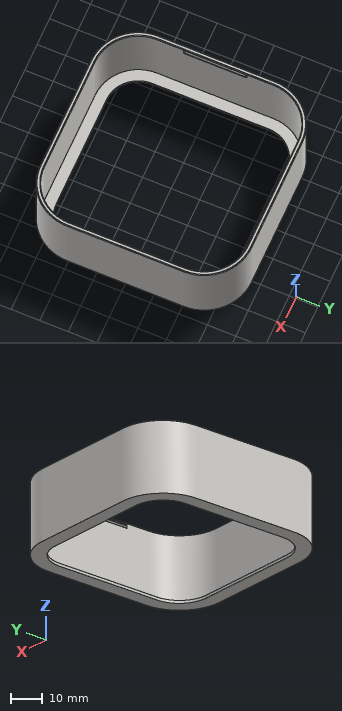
import cadquery as cq

side = 74.0
height = 26.0
corner_radius = 16.6
wall = 1.5
ledge_inset = 5.5
floor_thickness = 1.0
rim_chamfer = 0.3

ridge_length = 22.2
ridge_depth = 0.5
ridge_height = 1.5
ridge_top_gap = 0.5
ridge_overlap = 0.4


def rounded_square(inset, bottom, top):
    """Rounded square prism whose outline is offset inward from the outer side."""
    width = side - 2 * inset
    return (
        cq.Workplane("XY")
        .workplane(offset=bottom)
        .rect(width, width)
        .extrude(top - bottom)
        .edges("|Z")
        .fillet(corner_radius - inset)
    )


def frame():
    """Square ring with an inward ledge at the bottom and a chamfered rim."""
    body = rounded_square(0, 0, height)
    body = body.cut(rounded_square(wall, floor_thickness, height))
    body = body.cut(rounded_square(ledge_inset, 0, floor_thickness))
    return body.faces(">Z").edges().chamfer(rim_chamfer)


def snap_ridge(direction):
    """Ridge tapered on all sides, standing inward from the wall at +X or -X."""
    wall_face = side / 2 - wall
    middle_height = height - ridge_top_gap - ridge_height / 2
    root = (
        cq.Workplane("YZ")
        .center(0, middle_height)
        .workplane(offset=direction * (wall_face + ridge_overlap))
        .rect(ridge_length, ridge_height)
        .extrude(-direction * ridge_overlap)
    )
    crest = (
        cq.Workplane("YZ")
        .center(0, middle_height)
        .workplane(offset=direction * wall_face)
        .rect(ridge_length, ridge_height)
        .workplane(offset=-direction * ridge_depth)
        .rect(ridge_length - 2 * ridge_depth, ridge_height - 2 * ridge_depth)
        .loft()
    )
    return root.union(crest)


result = frame()
for direction in (-1, 1):
    result = result.union(snap_ridge(direction))